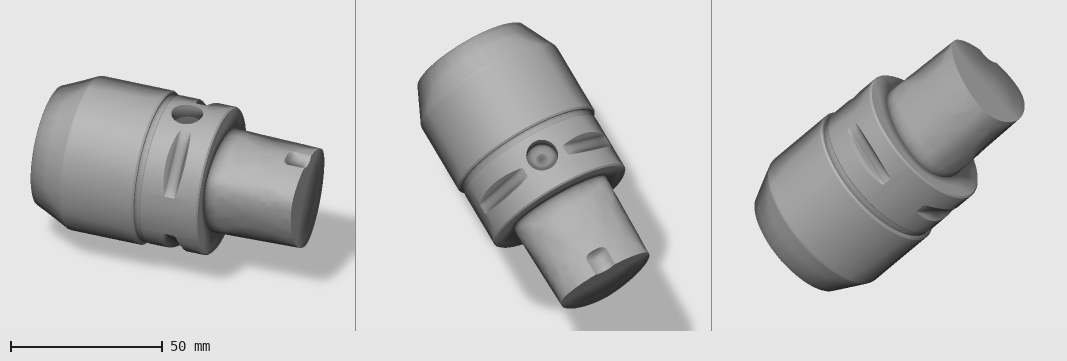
import cadquery as cq
import math

BODY_RADIUS = 26.0
FLANGE_RADIUS = 25.0
NECK_RADIUS = 49.4 / 2
NOSE_FACE_RADIUS = 19.5
NOSE_RADIUS = 20.25
NOSE_BREAK = 0.4
CONE_END_RADIUS = 25.9
CONE_END = 12.5
BODY_START = 13.1
BODY_END = 38.0
BODY_BREAK_LENGTH = 0.6
BODY_BREAK_HEIGHT = 0.45
NECK_END = 40.0
FLANGE_END = 60.0
FLANGE_BREAK = 0.5
TOTAL_LENGTH = 90.0

BORE_DIAMETER = 20.0
BORE_DEPTH = 50.0

SHANK_BASE_RADIUS = 17.55
SHANK_TAPER = 1 / 40
SHANK_LOBE = 1.2
LOBE_POINTS = 72

GROOVE_CENTRE = 50.0
GROOVE_FLOOR_WIDTH = 3.6
GROOVE_MOUTH_WIDTH = 6.7
GROOVE_FLOOR_DISTANCE = 22.2
GROOVE_FLOOR_FILLET = 0.8

RADIAL_HOLE_X = 48.0
RADIAL_HOLE_FLOOR_DIAMETER = 10.0
RADIAL_HOLE_FLOOR = 19.4
RADIAL_HOLE_CHAMFER = 0.3
DIMPLE_DIAMETER = 4.0
DRILL_HALF_ANGLE = math.radians(59)

NOTCH_RADIUS = 4.95
NOTCH_CORNER = 2.0
NOTCH_LENGTH = 5.5
NOTCH_AXIS_Z = 18.7


def turned_body():
    """Nose cone, cylindrical body, neck and flange revolved about X."""
    profile = [
        (0, 0),
        (0, NOSE_FACE_RADIUS),
        (NOSE_BREAK, NOSE_RADIUS),
        (CONE_END, CONE_END_RADIUS),
        (BODY_START, BODY_RADIUS),
        (BODY_END - BODY_BREAK_LENGTH, BODY_RADIUS),
        (BODY_END, BODY_RADIUS - BODY_BREAK_HEIGHT),
        (BODY_END, NECK_RADIUS),
        (NECK_END, NECK_RADIUS),
        (NECK_END + FLANGE_RADIUS - NECK_RADIUS, FLANGE_RADIUS),
        (FLANGE_END - FLANGE_BREAK, FLANGE_RADIUS),
        (FLANGE_END, FLANGE_RADIUS - FLANGE_BREAK),
        (FLANGE_END, 0),
    ]
    return cq.Workplane("XY").polyline(profile).close().revolve(360, (0, 0, 0), (1, 0, 0))


def lobed_wire(x, radius):
    """Three-lobed outline in the plane at x, with one lobe pointing to -Z."""
    def point(angle):
        down = radius * math.cos(angle) + SHANK_LOBE * (2 * math.cos(2 * angle) - math.cos(4 * angle))
        side = radius * math.sin(angle) - SHANK_LOBE * (2 * math.sin(2 * angle) + math.sin(4 * angle))
        return cq.Vector(x, side, -down)

    points = [point(2 * math.pi * i / LOBE_POINTS) for i in range(LOBE_POINTS)]
    return cq.Wire.assembleEdges([cq.Edge.makeSpline(points, periodic=True)])


def shank():
    end_radius = SHANK_BASE_RADIUS - SHANK_TAPER * (TOTAL_LENGTH - FLANGE_END)
    wires = [lobed_wire(FLANGE_END, SHANK_BASE_RADIUS), lobed_wire(TOTAL_LENGTH, end_radius)]
    return cq.Workplane(cq.Solid.makeLoft(wires, True))


def gripper_groove(angle):
    """Straight groove with sloped walls, cut across the flange at an angle about X."""
    slope = (GROOVE_MOUTH_WIDTH - GROOVE_FLOOR_WIDTH) / 2 / (FLANGE_RADIUS - GROOVE_FLOOR_DISTANCE)
    cutter_top = BODY_RADIUS
    half_floor = GROOVE_FLOOR_WIDTH / 2
    half_top = half_floor + slope * (cutter_top - GROOVE_FLOOR_DISTANCE)
    cutter = (
        cq.Workplane("XZ")
        .polyline([
            (GROOVE_CENTRE - half_floor, GROOVE_FLOOR_DISTANCE),
            (GROOVE_CENTRE + half_floor, GROOVE_FLOOR_DISTANCE),
            (GROOVE_CENTRE + half_top, cutter_top),
            (GROOVE_CENTRE - half_top, cutter_top),
        ])
        .close()
        .extrude(BODY_RADIUS, both=True)
        .faces("<Z").edges("|Y").fillet(GROOVE_FLOOR_FILLET)
    )
    return cutter.rotate((0, 0, 0), (1, 0, 0), angle)


def radial_hole():
    """Flat-bottomed hole from +Z with a chamfered floor corner and a conical dimple."""
    floor_radius = RADIAL_HOLE_FLOOR_DIAMETER / 2
    wall_radius = floor_radius + RADIAL_HOLE_CHAMFER
    dimple_radius = DIMPLE_DIAMETER / 2
    dimple_depth = dimple_radius / math.tan(DRILL_HALF_ANGLE)
    profile = [
        (0, RADIAL_HOLE_FLOOR - dimple_depth),
        (dimple_radius, RADIAL_HOLE_FLOOR),
        (floor_radius, RADIAL_HOLE_FLOOR),
        (wall_radius, RADIAL_HOLE_FLOOR + RADIAL_HOLE_CHAMFER),
        (wall_radius, BODY_RADIUS),
        (0, BODY_RADIUS),
    ]
    cutter = cq.Workplane("XZ").polyline(profile).close().revolve(360, (0, 0, 0), (0, 1, 0))
    return cutter.translate((RADIAL_HOLE_X, 0, 0))


def key_notch():
    """Round notch along X with a rounded inner end, open at the shank end and top."""
    straight_start = TOTAL_LENGTH - NOTCH_LENGTH
    corner_centre_radius = NOTCH_RADIUS - NOTCH_CORNER
    corner_offset = NOTCH_CORNER * math.sqrt(0.5)
    cutter = (
        cq.Workplane("XY")
        .moveTo(TOTAL_LENGTH, 0)
        .lineTo(TOTAL_LENGTH, NOTCH_RADIUS)
        .lineTo(straight_start, NOTCH_RADIUS)
        .threePointArc(
            (straight_start - corner_offset, corner_centre_radius + corner_offset),
            (straight_start - NOTCH_CORNER, corner_centre_radius),
        )
        .lineTo(straight_start - NOTCH_CORNER, 0)
        .close()
        .revolve(360, (0, 0, 0), (1, 0, 0))
    )
    return cutter.translate((0, 0, NOTCH_AXIS_Z))


result = turned_body().union(shank())
result = result.cut(cq.Workplane("YZ").circle(BORE_DIAMETER / 2).extrude(BORE_DEPTH))
for groove_angle in (45, 135, 225, 315):
    result = result.cut(gripper_groove(groove_angle))
result = result.cut(radial_hole()).cut(key_notch())